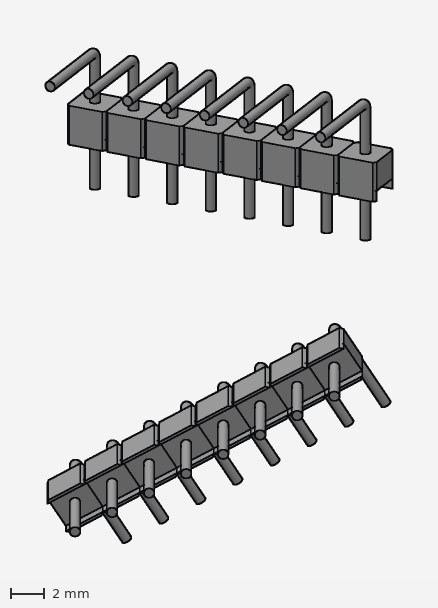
import cadquery as cq

cell_count = 8
row_length = 20.33
pitch = row_length / cell_count

cell_depth = 2.5
cell_height = 2.5
corner_chamfer = 0.18
channel_depth = 0.67
channel_width = cell_depth - 2 * corner_chamfer

pin_diameter = 0.63
pin_below_cell = 3.0
pin_above_cell = 3.5
pin_reach = 6.0
bend_radius = 0.4

pin_bottom = -pin_below_cell
pin_leg_height = cell_height + pin_above_cell - pin_diameter / 2


def make_housing():
    """Block with chamfered upright edges and a channel along X in its underside."""
    block = (
        cq.Workplane("XY")
        .box(pitch, cell_depth, cell_height, centered=(True, True, False))
        .edges("|Z")
        .chamfer(corner_chamfer)
    )
    channel = cq.Workplane("XY").box(pitch, channel_width, channel_depth, centered=(True, True, False))
    return block.cut(channel)


def make_pin():
    """Round bar that rises along Z and bends toward -Y."""
    axis = (
        cq.Workplane("YZ")
        .moveTo(0, pin_bottom)
        .lineTo(0, pin_leg_height - bend_radius)
        .radiusArc((-bend_radius, pin_leg_height), -bend_radius)
        .lineTo(-pin_reach, pin_leg_height)
    )
    return cq.Workplane("XY", origin=(0, 0, pin_bottom)).circle(pin_diameter / 2).sweep(axis)


def make_header_cell(x):
    """One housing block and its pin as a single solid, centred at x."""
    return make_housing().union(make_pin()).translate((x, 0, 0))


first_x = -(row_length - pitch) / 2
header_cells = [make_header_cell(first_x + i * pitch) for i in range(cell_count)]

result = cq.Compound.makeCompound([cell.val() for cell in header_cells])